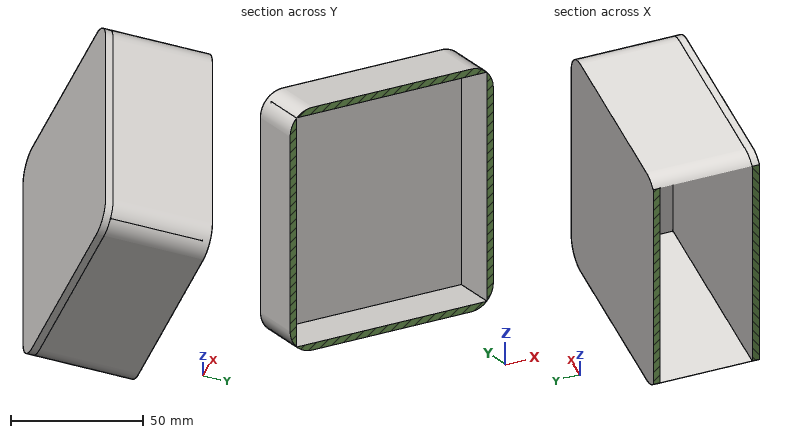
import cadquery as cq

width = 90.0
depth = 43.0
height = 100.0
corner_radius = 10.0
lid_thickness = 3.0
wall = 3.0

body_depth = depth - lid_thickness


def rounded_block(thickness, front_y):
    """Rounded-corner block that starts at front_y and extends toward +Y."""
    return (
        cq.Workplane("XY")
        .box(width, thickness, height, centered=(True, False, True))
        .edges("|Y")
        .fillet(corner_radius)
        .translate((0, front_y, 0))
    )


def make_housing():
    """Open-fronted box whose square-cornered cavity leaves a floor at +Y."""
    cavity = (
        cq.Workplane("XY")
        .box(width - 2 * wall, body_depth - wall, height - 2 * wall, centered=(True, False, True))
        .translate((0, lid_thickness, 0))
    )
    return rounded_block(body_depth, lid_thickness).cut(cavity)


def make_lid():
    """Flat plate that closes the open front of the housing."""
    return rounded_block(lid_thickness, 0)


housing = make_housing()
lid = make_lid()

result = cq.Compound.makeCompound([housing.val(), lid.val()])